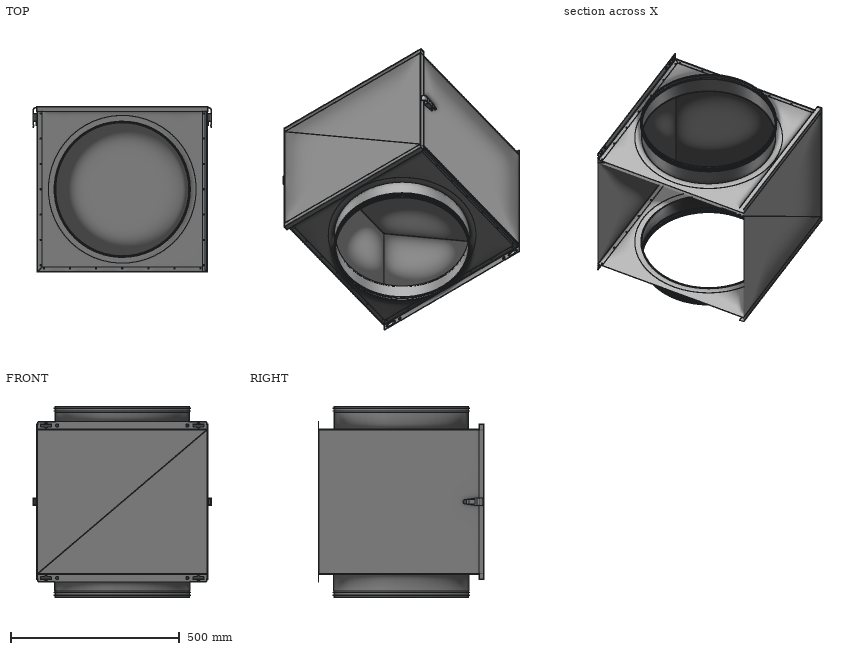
import cadquery as cq
import math


box_width = 505.0
box_height = 430.0
overall_depth = 491.0
sheet = 2.0
bend_radius = 1.9
half_width = box_width / 2
half_height = box_height / 2
front_y = -overall_depth / 2
back_y = overall_depth / 2

hem_width = 14.5
hem_thickness = 1.0
side_lip_width = 7.5
side_lip_step = 0.5
upturned_lip_height = 5.5
mitre_seam_width = 0.3
rivet_diameter = 3.3
rivet_inset = 11.0
side_rivet_pitch = 75.0
front_rivet_pitch = 77.3
rivet_indexes = range(-3, 4)

divider_thickness = 1.0

flange_width = 501.0
flange_tip_z = 237.5
flange_thickness = 1.0
flange_corner_radius = 3.0
flange_hole_x = 193.0
flange_hole_z = 226.0
flange_hole_diameter = 9.0
keyhole_x = 226.0
keyhole_length = 33.0
keyhole_height = 9.0
keyhole_center_diameter = 14.0

overall_height = 565.99
spigot_end_z = overall_height / 2
spigot_bore = 395.4
spigot_end_bore = 394.4
spigot_end_diameter = 398.0
lower_spigot_diameter = 402.0
collar_diameter = 438.0
collar_thickness = 0.5
seal_diameter = 399.0
seal_lip_diameter = 404.0
seal_start = 19.0
seal_end = 5.0
outer_lip_width = 2.0
inner_lip_offset = 14.0
inner_lip_width = 0.6

cover_sheet = 1.5
cover_height = 462.0
cover_depth = 15.0
cover_bend_radius = 2.0
cover_half_width = half_width + cover_sheet
cover_inner_y = back_y - cover_sheet
cover_rim_y = back_y - cover_depth

overall_width = 530.4
latch_outer_x = overall_width / 2
latch_band = 1.5
latch_width = 22.0
latch_tail_width = 13.0
latch_base_thickness = 2.5
latch_base_length = 36.0
latch_base_back_y = 225.0
latch_lever_front_y = 201.0
latch_hook_y = 243.0
latch_hook_height = 11.0
latch_bend_y = 193.0
latch_tail_bend_y = 189.0
latch_tail_y = 183.5
latch_tail_offset = 2.5
latch_taper_start_y = 222.0
latch_recess_start_y = 219.0
latch_recess_depth = 0.5


def block(x0, x1, y0, y1, z0, z1):
    """Box given by its limits along X, Y and Z."""
    return cq.Workplane("XY").box(x1 - x0, y1 - y0, z1 - z0, centered=False).translate((x0, y0, z0))


def mirrored_in_z(shape):
    return shape.mirror("XY")


def rivet_points():
    """Hole centres along both side hems and the front hem."""
    side_x = half_width - rivet_inset
    points = [(side * side_x, i * side_rivet_pitch) for side in (-1, 1) for i in rivet_indexes]
    points += [(i * front_rivet_pitch, front_y + rivet_inset) for i in rivet_indexes]
    return points


def folded_box():
    """Open-backed sheet box with bent edges."""
    outer = block(-half_width, half_width, front_y, back_y, -half_height, half_height)
    outer = outer.edges("|Y").fillet(bend_radius)
    outer = outer.faces("<Y").edges("|Z").fillet(bend_radius)
    cavity = block(
        sheet - half_width,
        half_width - sheet,
        front_y + sheet,
        back_y,
        sheet - half_height,
        half_height - sheet,
    )
    return outer.cut(cavity)


def hem_relief():
    """Material between the hems of the top plate, with the lower step beside the +X lip."""
    hem_x = half_width - hem_width
    plate_z = half_height - hem_thickness
    step_z = half_height - side_lip_step
    plate = block(-hem_x, hem_x, front_y + hem_width, back_y, plate_z, half_height)
    step = block(hem_x, half_width - side_lip_width, front_y + sheet, back_y, step_z, half_height)
    return plate.union(step)


def corner_seams():
    """Narrow mitre grooves where the front hem meets the side hems."""
    length = hem_width * math.sqrt(2)
    center_y = front_y + hem_width / 2
    seams = cq.Workplane("XY")
    for side in (-1, 1):
        groove = (
            cq.Workplane("XY")
            .box(length, mitre_seam_width, side_lip_step)
            .rotate((0, 0, 0), (0, 0, 1), -side * 45)
            .translate((side * (half_width - hem_width / 2), center_y, half_height))
        )
        seams = seams.add(groove)
    return seams.combine()


def spigot(body_diameter):
    """Upward spigot tube with base collar and double-lipped seal, closed until the bore is cut."""
    root_z = half_height - sheet
    collar_z = half_height - hem_thickness + collar_thickness
    seal_z0 = spigot_end_z - seal_start
    seal_z1 = spigot_end_z - seal_end

    def disc(diameter, z0, z1):
        return cq.Workplane("XY").workplane(offset=z0).circle(diameter / 2).extrude(z1 - z0)

    inner_lip_z = spigot_end_z - inner_lip_offset
    tube = disc(body_diameter, root_z, seal_z0)
    tube = tube.union(disc(spigot_end_diameter, seal_z0, spigot_end_z))
    tube = tube.union(disc(collar_diameter, root_z, collar_z))
    tube = tube.union(disc(seal_diameter, seal_z0, seal_z1))
    tube = tube.union(disc(seal_lip_diameter, inner_lip_z, inner_lip_z + inner_lip_width))
    return tube.union(disc(seal_lip_diameter, seal_z1 - outer_lip_width, seal_z1))


def spigot_bores():
    """Bore through both spigots, slightly narrower in the stiffened ends under the seals."""
    main_bore = cq.Workplane("XY").circle(spigot_bore / 2).extrude(spigot_end_z - seal_start, both=True)
    end_bore = cq.Workplane("XY").circle(spigot_end_bore / 2).extrude(spigot_end_z, both=True)
    return main_bore.union(end_bore)


def mounting_flange():
    """Upper front flange with a keyhole and a round hole near each end."""
    root_z = half_height - sheet
    flange = block(
        -flange_width / 2,
        flange_width / 2,
        front_y,
        front_y + flange_thickness,
        root_z,
        flange_tip_z,
    )
    flange = flange.faces(">Z").edges("|Y").fillet(flange_corner_radius)
    keyholes = [(side * keyhole_x, flange_hole_z) for side in (-1, 1)]
    holes = [(side * flange_hole_x, flange_hole_z) for side in (-1, 1)]

    def cutter(sketch):
        return sketch.extrude(flange_thickness * 2, both=True).translate((0, front_y, 0))

    keyhole_layout = cq.Workplane("XZ").pushPoints(keyholes)
    hole_layout = cq.Workplane("XZ").pushPoints(holes)
    flange = flange.cut(cutter(keyhole_layout.slot2D(keyhole_length, keyhole_height)))
    flange = flange.cut(cutter(keyhole_layout.circle(keyhole_center_diameter / 2)))
    return flange.cut(cutter(hole_layout.circle(flange_hole_diameter / 2)))


def divider():
    """Sheet from the lower -X edge to the upper +X edge, its front edge flush with the front wall."""
    end_x = half_width - bend_radius
    end_z = half_height - bend_radius
    length = 2 * math.hypot(end_x, end_z)
    slope = math.degrees(math.atan2(end_z, end_x))
    depth = cover_inner_y - front_y
    return (
        cq.Workplane("XY")
        .box(length, depth, divider_thickness)
        .rotate((0, 0, 0), (0, 1, 0), -slope)
        .translate((0, front_y + depth / 2, 0))
    )


def lower_side_lip():
    """Lip of the bottom plate turned up against the -X wall."""
    lip_x = -half_width - side_lip_step
    lip_z = bend_radius - half_height
    lip_top_z = lip_z + upturned_lip_height
    return block(lip_x, sheet / 2 - half_width, front_y + sheet, cover_rim_y, lip_z, lip_top_z)


def make_housing():
    body = folded_box()
    body = body.cut(block(-half_width, half_width, cover_inner_y, back_y, -half_height, half_height))
    relief = hem_relief()
    body = body.cut(relief).cut(relief.rotate((0, 0, 0), (0, 1, 0), 180))
    seams = corner_seams()
    body = body.cut(seams).cut(mirrored_in_z(seams))
    rivet_holes = (
        cq.Workplane("XY")
        .pushPoints(rivet_points())
        .circle(rivet_diameter / 2)
        .extrude(box_height, both=True)
    )
    body = body.cut(rivet_holes)
    body = body.union(spigot(spigot_end_diameter))
    body = body.union(mirrored_in_z(spigot(lower_spigot_diameter)))
    body = body.cut(spigot_bores())
    body = body.union(lower_side_lip())
    flange = mounting_flange()
    for part in (flange, mirrored_in_z(flange), divider()):
        body = body.union(part, clean=False)
    return body.solids()


def make_cover():
    """Shallow tray that closes the open back of the housing."""
    half = cover_height / 2
    tray = block(-cover_half_width, cover_half_width, cover_rim_y, back_y, -half, half)
    tray = tray.faces(">Y").edges().fillet(cover_bend_radius)
    inner_half = half - cover_sheet
    hollow = block(-half_width, half_width, cover_rim_y, cover_inner_y, -inner_half, inner_half)
    return tray.cut(hollow).solids()


def make_latch(side):
    """Latch on the side wall (side = 1 for +X, -1 for -X), hooked onto the cover rim."""
    base_x = half_width + latch_base_thickness
    inner_x = latch_outer_x - latch_band
    bend_x = inner_x - latch_tail_offset
    hook_end_y = latch_hook_y - latch_hook_height
    corner = math.sqrt(0.5)
    hook_reach = latch_outer_x - cover_half_width
    inner_reach = hook_reach - latch_band
    inner_height = latch_hook_height - latch_band

    profile = (
        cq.Workplane("XY")
        .moveTo(cover_half_width, latch_hook_y)
        .threePointArc(
            (cover_half_width + hook_reach * corner, hook_end_y + latch_hook_height * corner),
            (latch_outer_x, hook_end_y),
        )
        .lineTo(latch_outer_x, latch_bend_y)
        .lineTo(bend_x + latch_band, latch_tail_bend_y)
        .lineTo(latch_outer_x, latch_tail_y)
        .lineTo(inner_x, latch_tail_y)
        .lineTo(bend_x, latch_tail_bend_y)
        .lineTo(inner_x, latch_bend_y)
        .lineTo(inner_x, latch_lever_front_y)
        .lineTo(base_x, latch_lever_front_y)
        .lineTo(base_x, latch_base_back_y - latch_base_length)
        .lineTo(half_width, latch_base_back_y - latch_base_length)
        .lineTo(half_width, latch_base_back_y)
        .lineTo(inner_x, latch_base_back_y)
        .lineTo(inner_x, hook_end_y)
        .threePointArc(
            (cover_half_width + inner_reach * corner, hook_end_y + inner_height * corner),
            (cover_half_width, latch_hook_y - latch_band),
        )
        .close()
        .extrude(latch_width / 2, both=True)
    )

    tail_end_y = latch_tail_y + latch_tail_width / 2
    outline = (
        cq.Workplane("YZ")
        .moveTo(latch_hook_y, -latch_width / 2)
        .lineTo(latch_taper_start_y, -latch_width / 2)
        .lineTo(tail_end_y, -latch_tail_width / 2)
        .threePointArc((latch_tail_y, 0), (tail_end_y, latch_tail_width / 2))
        .lineTo(latch_taper_start_y, latch_width / 2)
        .lineTo(latch_hook_y, latch_width / 2)
        .close()
        .extrude(latch_outer_x)
    )
    recess = block(
        latch_outer_x - latch_recess_depth,
        latch_outer_x,
        latch_bend_y,
        latch_recess_start_y,
        -latch_tail_width / 2,
        latch_tail_width / 2,
    )
    latch = profile.intersect(outline).cut(recess).solids()
    return latch if side > 0 else latch.mirror("YZ").solids()


housing = make_housing()
cover = make_cover()
latches = [make_latch(side) for side in (-1, 1)]

result = cq.Compound.makeCompound([housing.val(), cover.val(), *[latch.val() for latch in latches]])